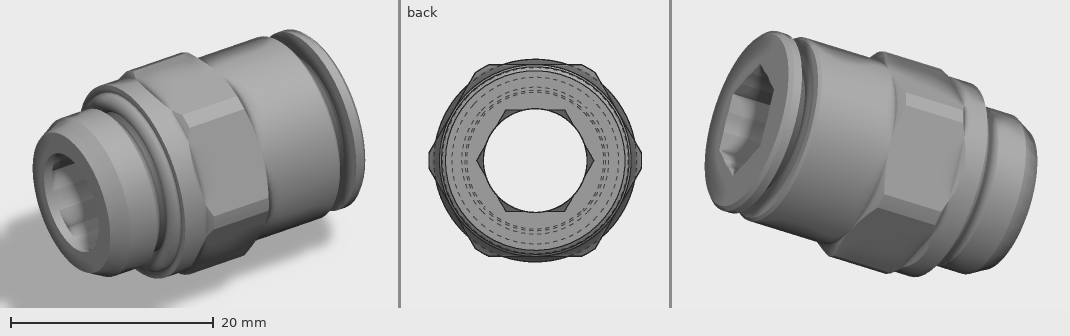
import cadquery as cq
import math

length = 28.6

thread_radius = 16.45 / 2
thread_neck_radius = 14.5 / 2
lead_in_end = 1.8
thread_end = 4.85
runout_end = thread_end + thread_radius - thread_neck_radius

seal_radius = 18.5 / 2
seal_height = 0.95
collar_front = 7.0
collar_back = 9.52
collar_radius = 20.0 / 2

hex_across_flats = 18.9
hex_corner_radius = 21.0 / 2
hex_back = 17.0
hex_back_chamfer_angle = 30
ramp_length = 0.85

body_radius = hex_across_flats / 2
body_back = 25.48
body_chamfer = 0.3
lip_base_radius = 7.86
lip_top_radius = 7.15
lip_height = 0.17

release_neck_radius = 13.5 / 2
flange_radius = 18.5 / 2
flange_thickness = 1.3
flange_chamfer = 0.4
neck_relief = 0.17

bore_radius = 10.2 / 2
socket_across_flats = 10.0
socket_front = 0.95


def hexagon(y, across_flats):
    """Hexagon outline in the plane at y, with two corners on the X axis."""
    plane = cq.Workplane("XZ", origin=(0, y, 0))
    return plane.polygon(6, across_flats / math.cos(math.radians(30)))


def turned_profile():
    """Outer solid of revolution, with the hexagon zone still round."""
    front_chamfer_end = collar_back + hex_corner_radius - collar_radius
    back_chamfer_rise = hex_corner_radius - body_radius
    back_chamfer_start = hex_back - back_chamfer_rise * math.tan(math.radians(hex_back_chamfer_angle))
    seal_crest = ((thread_neck_radius + seal_radius) / 2, collar_front - seal_height)
    flange_front = length - flange_thickness
    return (
        cq.Workplane("XY")
        .lineTo(thread_neck_radius, 0)
        .lineTo(thread_radius, lead_in_end)
        .lineTo(thread_radius, thread_end)
        .lineTo(thread_neck_radius, runout_end)
        .lineTo(thread_neck_radius, collar_front)
        .threePointArc(seal_crest, (seal_radius, collar_front))
        .lineTo(collar_radius, collar_front)
        .lineTo(collar_radius, collar_back)
        .lineTo(hex_corner_radius, front_chamfer_end)
        .lineTo(hex_corner_radius, back_chamfer_start)
        .lineTo(body_radius, hex_back)
        .lineTo(body_radius, body_back - body_chamfer)
        .lineTo(body_radius - body_chamfer, body_back)
        .lineTo(lip_base_radius, body_back)
        .lineTo(lip_top_radius, body_back + lip_height)
        .lineTo(release_neck_radius, body_back + lip_height)
        .lineTo(release_neck_radius, flange_front - neck_relief)
        .lineTo(release_neck_radius + neck_relief, flange_front)
        .lineTo(flange_radius, flange_front)
        .lineTo(flange_radius, length - flange_chamfer)
        .lineTo(flange_radius - flange_chamfer, length)
        .lineTo(0, length)
        .close()
        .revolve(360, (0, 0, 0), (0, 1, 0))
    )


def hexagon_waste():
    """Material outside the wrench flats and outside their 45 degree ramps into the collar."""
    ramp_front = collar_back - ramp_length
    blank = cq.Workplane("XZ", origin=(0, ramp_front, 0)).circle(length).extrude(ramp_front - hex_back)
    flats = hexagon(collar_back, hex_across_flats).extrude(collar_back - hex_back)
    ramps = hexagon(collar_back, hex_across_flats).extrude(ramp_length, taper=-45)
    return blank.cut(flats).cut(ramps)


def bore():
    """Round through bore with a hexagon socket starting just behind the front face."""
    round_bore = cq.Workplane("XZ").circle(bore_radius).extrude(-length)
    socket = hexagon(socket_front, socket_across_flats).extrude(socket_front - length)
    return round_bore.union(socket)


result = turned_profile().cut(hexagon_waste()).cut(bore())